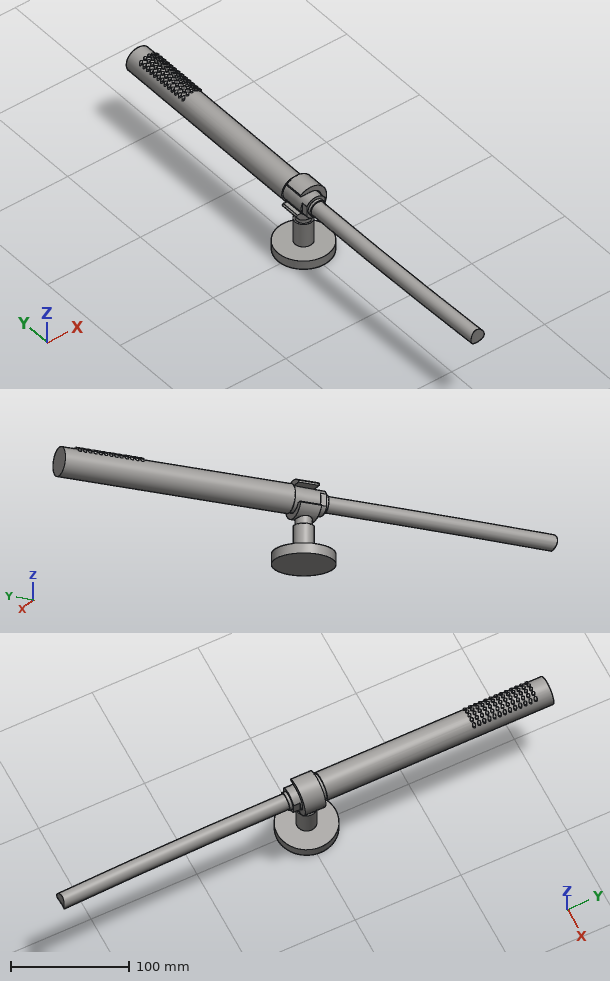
import cadquery as cq
import math

total_height = 75.0

mount_y = 3.6
flange_diameter = 55.0
flange_thickness = 9.2
post_diameter = 18.0
post_top = 34.0

neck_diameter = 15.0
clip_width = 19.5
clip_outer_radius = 34.5 / 2
clip_bore_radius = 12.0
upper_jaw_x = -10.5
lower_jaw_z = -6.5
jaw_chamfer = 2.0

axis_height = total_height - clip_outer_radius

wand_radius = 13.0
wand_tip_y = 231.0
wand_end_y = 17.0

nozzle_radius = 1.5
nozzle_tip_radius = 14.5
nozzle_columns = 5
nozzle_rows = 13
nozzle_pitch_x = 4.4
first_row_y = 216.0
last_row_y = 157.5

cone_big_radius = 11.5
cone_small_radius = 11.0
cone_end_y = -13.5
flat_start_y = -7.5
flat_distance = 9.5
collar_radius = 8.5
collar_end_y = -16.0

hose_radius = 14.5 / 2
hose_end_y = -231.0
hose_drift = 3.95
hollow_depth = 2.0
hose_trim = 2.5


def rod(radius, start_y, end_y):
    """Cylinder on the wand axis, from start_y to end_y further along -Y."""
    return (
        cq.Workplane("XZ", origin=(0, start_y, axis_height))
        .circle(radius)
        .extrude(start_y - end_y)
    )


def upright(diameter, bottom_z, top_z):
    """Vertical cylinder on the mount's axis."""
    return (
        cq.Workplane("XY", origin=(0, mount_y, bottom_z))
        .circle(diameter / 2)
        .extrude(top_z - bottom_z)
    )


def make_flange():
    return upright(flange_diameter, 0, flange_thickness)


def make_post():
    return upright(post_diameter, flange_thickness, post_top)


def make_clip():
    back_y = mount_y + clip_width / 2
    front_y = mount_y - clip_width / 2
    neck = upright(neck_diameter, post_top, axis_height)
    body = rod(clip_outer_radius, back_y, front_y).union(neck)
    body = body.cut(rod(clip_bore_radius, back_y, front_y))

    far = 2 * clip_outer_radius
    tip_x = -math.sqrt(clip_outer_radius**2 - lower_jaw_z**2)
    mouth = (
        cq.Workplane("XZ", origin=(0, back_y, axis_height))
        .moveTo(0, clip_bore_radius)
        .lineTo(upper_jaw_x, clip_bore_radius)
        .lineTo(upper_jaw_x, far)
        .lineTo(-far, far)
        .lineTo(-far, lower_jaw_z - jaw_chamfer)
        .lineTo(tip_x, lower_jaw_z - jaw_chamfer)
        .lineTo(tip_x + jaw_chamfer, lower_jaw_z)
        .lineTo(0, lower_jaw_z)
        .close()
        .extrude(clip_width)
    )
    return body.cut(mouth)


def make_wand():
    row_pitch = (first_row_y - last_row_y) / (nozzle_rows - 1)
    first_column_x = -nozzle_pitch_x * (nozzle_columns - 1) / 2
    spots = [
        (first_column_x + column * nozzle_pitch_x, first_row_y - row * row_pitch)
        for column in range(nozzle_columns)
        for row in range(nozzle_rows)
    ]
    pegs = (
        cq.Workplane("XY", origin=(0, 0, axis_height))
        .pushPoints(spots)
        .circle(nozzle_radius)
        .extrude(2 * nozzle_tip_radius)
    )
    nozzles = pegs.intersect(rod(nozzle_tip_radius, wand_tip_y, wand_end_y))
    return rod(wand_radius, wand_tip_y, wand_end_y).union(nozzles)


def make_connector():
    cone = (
        cq.Workplane("XY", origin=(0, 0, axis_height))
        .moveTo(0, wand_end_y)
        .lineTo(cone_big_radius, wand_end_y)
        .lineTo(cone_small_radius, cone_end_y)
        .lineTo(0, cone_end_y)
        .close()
        .revolve(360, (0, 0, 0), (0, 1, 0))
    )
    flat_length = flat_start_y - cone_end_y
    flat_centre_y = (flat_start_y + cone_end_y) / 2
    for side in (-1, 1):
        flat_cut_x = side * (flat_distance + cone_big_radius / 2)
        flat_cut = (
            cq.Workplane("XY", origin=(flat_cut_x, flat_centre_y, axis_height))
            .box(cone_big_radius, flat_length, 2 * cone_big_radius)
        )
        cone = cone.cut(flat_cut)
    return cone.union(rod(collar_radius, cone_end_y, collar_end_y))


def make_hose():
    path = (
        cq.Workplane("XY", origin=(0, 0, axis_height))
        .moveTo(0, collar_end_y)
        .threePointArc(
            (hose_drift / 4, (collar_end_y + hose_end_y - hose_trim) / 2),
            (hose_drift, hose_end_y - hose_trim),
        )
    )
    hose = (
        cq.Workplane("XZ", origin=(0, collar_end_y, axis_height))
        .circle(hose_radius)
        .sweep(path)
    )
    end_cut = (
        cq.Workplane("XY", origin=(hose_drift, hose_end_y, axis_height))
        .moveTo(-hose_radius, 0)
        .threePointArc((0, hollow_depth), (hose_radius, 0))
        .lineTo(2 * hose_radius, 0)
        .lineTo(2 * hose_radius, -2 * hose_trim)
        .lineTo(-2 * hose_radius, -2 * hose_trim)
        .lineTo(-2 * hose_radius, 0)
        .close()
        .extrude(hose_radius * 2, both=True)
    )
    return hose.cut(end_cut)


result = cq.Compound.makeCompound([
    make_flange().val(),
    make_post().val(),
    make_clip().val(),
    make_wand().val(),
    make_connector().val(),
    make_hose().val(),
])